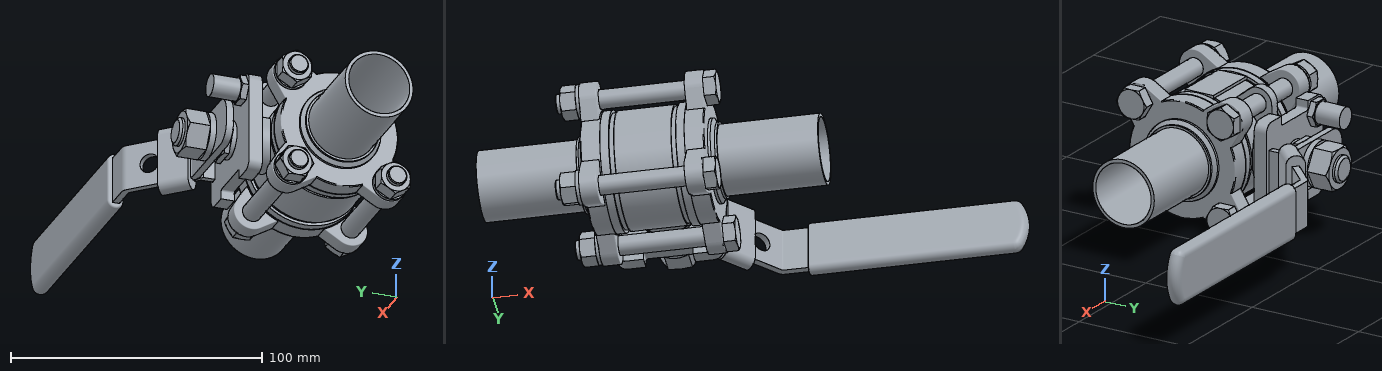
import cadquery as cq
import math


pipe_length = 138.4
pipe_diameter = 29.0
bore_diameter = 26.0
hub_diameter = 34.4
hub_step_diameter = 31.0
hub_end = 27.6
hub_chamfer_length = 1.4
hub_step_end = 28.5

flange_inner_face = 17.1
flange_outer_face = 25.1
lug_inner_face = 17.7
flange_diameter = 50.0
bolt_offset = 21.0
lug_radius = 7.51
lug_flare_angle = 14.0
flange_edge_fillet = 0.4
lug_flank_length = 10.0
bolt_circle_radius = bolt_offset * math.sqrt(2)

seat_ring_diameter = 49.5
seat_ring_inner_face = 13.6
groove_width = 2.0
groove_diameter = 47.0
body_diameter = 48.5
neck_diameter = 22.6
neck_collar_diameter = 23.0
neck_collar_height = 1.3
name_pad_length = 25.0
name_pad_width = 13.4
name_pad_height = 24.6
guide_lug_width = 4.2
guide_lug_radius = 6.6
guide_lug_flare_angle = 6.0

bolt_diameter = 8.0
bolt_hex_flats = 12.4
washer_diameter = 14.0
washer_thickness = 1.5
bolt_nut_height = 6.4
bolt_head_height = 5.1
bolt_end = 35.2
bolt_end_chamfer = 0.4

pad_bottom = 31.4
pad_top = 37.1
pad_size = 42.6
pad_corner_radius = 4.0
pad_recess_length = 20.0
pad_recess_depth = 4.0
pad_recess_radius = 1.0
gland_diameter = 15.88
gland_top = 39.4
packing_nut_flats = 17.0
packing_nut_top = 42.0
stem_diameter = 11.5
stem_top = 60.4
stem_chamfer = 1.0
stem_washer_diameter = 19.5
stem_washer_top = 49.1
stem_nut_top = 58.4
stem_nut_flats = 17.0

stop_offset = 15.1
stop_diameter = 9.4
stop_top = 51.5
stop_hex_flats = 10.6
stop_hex_top = 40.0

lever_thickness = 3.0
lever_width = 19.6
lever_low_y = 45.0
lever_high_y = 66.4
lever_start_x = -20.5
lever_low_bend_x = 18.1
lever_bend_angle = 45.0
lever_high_bend_x = lever_low_bend_x + lever_high_y - lever_low_y
lever_outer_bend_radius = 4.0
lever_inner_bend_radius = lever_outer_bend_radius - lever_thickness
lever_end_radius = 7.0
lever_hole_diameter = 8.0
lever_hole_y = 58.7

grip_start_x = 50.5
grip_end_x = 139.74
grip_width = 24.2
grip_thickness = 6.7
grip_edge_radius = 3.3
grip_tip_length = 3.8
grip_corner_radius = 3.6
grip_mouth_radius = 1.0

lock_length = 13.3
lock_width = 28.6
lock_thickness = 8.0
lock_centre_x = 23.8
lock_tongue_left = 16.6
lock_tongue_right = 19.4
lock_tongue_bend_y = 42.0
lock_tongue_bottom = 30.9
lock_tongue_width = 19.4


def rod_x(diameter, start, end, y=0.0, z=0.0):
    """Cylinder along X."""
    return cq.Workplane("YZ", origin=(start, y, z)).circle(diameter / 2).extrude(end - start)


def rod_y(diameter, start, end, x=0.0, z=0.0):
    """Cylinder along Y."""
    return cq.Workplane("XZ", origin=(x, start, z)).circle(diameter / 2).extrude(start - end)


def hexagon(plane, flats, height, turn=0.0):
    """Hexagonal prism on the plane, with its corners rounded off at the far end."""
    corner_diameter = flats / math.cos(math.radians(30))
    prism = cq.Workplane(plane).polygon(6, corner_diameter).extrude(height)
    prism = prism.rotate(plane.origin, plane.origin + plane.zDir, turn)
    crown = cq.Workplane(plane).circle(corner_diameter / 2).extrude(height)
    crown = crown.faces(cq.selectors.DirectionMinMaxSelector(plane.zDir, True))
    crown = crown.chamfer((corner_diameter - flats) / 4, (corner_diameter - flats) / 2)
    return prism.intersect(crown)


def bolt_lug(radius, start, end, diagonal_angle, flare_angle):
    """Rounded lug around one bolt, with straight flanks that flare towards the valve axis."""
    flare = math.radians(flare_angle)
    tangent_r = bolt_circle_radius + radius * math.sin(flare)
    tangent_w = radius * math.cos(flare)
    root_r = tangent_r - lug_flank_length * math.cos(flare)
    root_w = tangent_w + lug_flank_length * math.sin(flare)
    lug = (
        cq.Workplane("YZ", origin=(start, 0, 0))
        .moveTo(root_r, -root_w)
        .lineTo(tangent_r, -tangent_w)
        .threePointArc((bolt_circle_radius + radius, 0), (tangent_r, tangent_w))
        .lineTo(root_r, root_w)
        .close()
        .extrude(end - start)
    )
    return lug.rotate((0, 0, 0), (1, 0, 0), diagonal_angle)


def end_piece():
    """Pipe, stepped hub and four-lug flange of the +X end."""
    piece = rod_x(pipe_diameter, flange_inner_face, pipe_length / 2)
    piece = piece.union(rod_x(hub_step_diameter, flange_inner_face, hub_step_end))
    hub = rod_x(hub_diameter, flange_inner_face, hub_end)
    hub = hub.faces(">X").chamfer(hub_chamfer_length, (hub_diameter - hub_step_diameter) / 2)
    flange = rod_x(flange_diameter, flange_inner_face, flange_outer_face)
    for quarter in range(4):
        angle = 45 + 90 * quarter
        lug = bolt_lug(lug_radius, lug_inner_face, flange_outer_face, angle, lug_flare_angle)
        flange = flange.union(lug.faces("<X").edges().fillet(flange_edge_fillet))
    flange = flange.faces(">X").edges().fillet(flange_edge_fillet)
    return piece.union(hub).union(flange)


def body():
    """Centre body with seat rings, stem neck, name pad and the bolt guide lug."""
    core = rod_x(groove_diameter, -flange_inner_face, flange_inner_face)
    barrel_end = seat_ring_inner_face - groove_width
    core = core.union(rod_x(body_diameter, -barrel_end, barrel_end))
    for start in (-flange_inner_face, seat_ring_inner_face):
        ring = rod_x(seat_ring_diameter, start, start + flange_inner_face - seat_ring_inner_face)
        core = core.union(ring)
    core = core.union(rod_y(neck_diameter, 0, pad_bottom))
    core = core.union(rod_y(neck_collar_diameter, pad_bottom - neck_collar_height, pad_bottom))
    name_pad = cq.Workplane("XY").rect(name_pad_length, name_pad_width).extrude(name_pad_height)
    guide_end = guide_lug_width / 2
    guide = bolt_lug(guide_lug_radius, -guide_end, guide_end, 45, guide_lug_flare_angle)
    guide_web = cq.Workplane("XY").box(
        guide_lug_width, bolt_offset + guide_lug_radius, bolt_offset, centered=(True, False, False)
    )
    return core.union(name_pad).union(guide).union(guide_web)


def flange_bolt(quarter):
    """Bolt with head at +X, and washer and nut at -X; each hexagon turns with its quarter."""
    angle = math.radians(45 + 90 * quarter)
    y = bolt_circle_radius * math.cos(angle)
    z = bolt_circle_radius * math.sin(angle)
    turn = 90 * (quarter + 1)
    washer_end = -flange_outer_face - washer_thickness
    bolt = rod_x(bolt_diameter, -bolt_end, flange_outer_face, y, z)
    bolt = bolt.faces("<X").chamfer(bolt_end_chamfer)
    bolt = bolt.union(rod_x(washer_diameter, washer_end, -flange_outer_face, y, z))
    head_plane = cq.Plane(origin=(flange_outer_face, y, z), xDir=(0, 1, 0), normal=(1, 0, 0))
    nut_plane = cq.Plane(origin=(washer_end, y, z), xDir=(0, 1, 0), normal=(-1, 0, 0))
    bolt = bolt.union(hexagon(head_plane, bolt_hex_flats, bolt_head_height, turn))
    return bolt.union(hexagon(nut_plane, bolt_hex_flats, bolt_nut_height, turn))


def mounting_pad():
    """Square pad with rounded corners and a recess in its +Z and -Z sides."""
    pad = cq.Workplane("XZ", origin=(0, pad_bottom, 0)).rect(pad_size, pad_size)
    pad = pad.extrude(pad_bottom - pad_top)
    pad = pad.edges("|Y").fillet(pad_corner_radius)
    for side in (-1, 1):
        recess = cq.Workplane("XZ", origin=(0, pad_bottom, side * pad_size / 2))
        recess = recess.rect(pad_recess_length, 2 * pad_recess_depth).extrude(pad_bottom - pad_top)
        pad = pad.cut(recess.edges("|Y").fillet(pad_recess_radius))
    return pad


def stem():
    """Stem with gland, packing nut, lever washer and nut."""
    shaft = rod_y(stem_diameter, pad_bottom, stem_top).faces(">Y").chamfer(stem_chamfer)
    shaft = shaft.union(rod_y(gland_diameter, pad_bottom, gland_top))
    packing_plane = cq.Plane(origin=(0, gland_top, 0), xDir=(1, 0, 0), normal=(0, 1, 0))
    shaft = shaft.union(hexagon(packing_plane, packing_nut_flats, packing_nut_top - gland_top))
    shaft = shaft.union(rod_y(stem_washer_diameter, lever_low_y, stem_washer_top))
    nut_plane = cq.Plane(origin=(0, stem_washer_top, 0), xDir=(1, 0, 0), normal=(0, 1, 0))
    return shaft.union(hexagon(nut_plane, stem_nut_flats, stem_nut_top - stem_washer_top))


def stop_screw():
    """Round stop post with a hexagon foot on one corner of the mounting pad."""
    post = rod_y(stop_diameter, pad_top, stop_top, -stop_offset, stop_offset)
    foot_plane = cq.Plane(origin=(-stop_offset, pad_top, stop_offset), xDir=(1, 0, 0), normal=(0, 1, 0))
    return post.union(hexagon(foot_plane, stop_hex_flats, stop_hex_top - pad_top))


def lever():
    """Flat bar with two bends and a round hole in its sloping part."""
    half = lever_thickness / 2
    miter = half * math.tan(math.radians(lever_bend_angle / 2))
    inside_x = grip_start_x + grip_thickness
    bar = (
        cq.Workplane("XY")
        .moveTo(lever_start_x, lever_low_y - half)
        .lineTo(lever_low_bend_x + miter, lever_low_y - half)
        .lineTo(lever_high_bend_x + miter, lever_high_y - half)
        .lineTo(inside_x, lever_high_y - half)
        .lineTo(inside_x, lever_high_y + half)
        .lineTo(lever_high_bend_x - miter, lever_high_y + half)
        .lineTo(lever_low_bend_x - miter, lever_low_y + half)
        .lineTo(lever_start_x, lever_low_y + half)
        .close()
        .extrude(lever_width / 2, both=True)
    )
    low_outside = (lever_low_bend_x + miter, lever_low_y - half, 0)
    low_inside = (lever_low_bend_x - miter, lever_low_y + half, 0)
    high_outside = (lever_high_bend_x - miter, lever_high_y + half, 0)
    high_inside = (lever_high_bend_x + miter, lever_high_y - half, 0)
    for bend in (low_outside, high_outside):
        edge = cq.selectors.NearestToPointSelector(bend)
        bar = bar.edges("|Z").edges(edge).fillet(lever_outer_bend_radius)
    for bend in (low_inside, high_inside):
        edge = cq.selectors.NearestToPointSelector(bend)
        bar = bar.edges("|Z").edges(edge).fillet(lever_inner_bend_radius)
    bar = bar.edges("|Y and <X").fillet(lever_end_radius)
    hole_x = lever_low_bend_x + lever_hole_y - lever_low_y
    across = cq.Plane(origin=(hole_x, lever_hole_y, 0), xDir=(0, 0, 1), normal=(-1, 1, 0))
    hole = cq.Workplane(across).circle(lever_hole_diameter / 2).extrude(lever_thickness, both=True)
    return bar.cut(hole)


def grip():
    """Grip with an arched tip, rounded along its outline and at its mouth."""
    shoulder_x = grip_end_x - grip_tip_length
    plan = (
        cq.Workplane("XZ", origin=(0, lever_high_y - grip_thickness / 2, 0))
        .moveTo(grip_start_x, -grip_width / 2)
        .lineTo(shoulder_x, -grip_width / 2)
        .threePointArc((grip_end_x, 0), (shoulder_x, grip_width / 2))
        .lineTo(grip_start_x, grip_width / 2)
        .close()
        .extrude(-grip_thickness)
    )
    plan = plan.edges("|Y").edges(">X").fillet(grip_corner_radius)
    outline = plan.faces("<Y or >Y").edges("not <X")
    return outline.fillet(grip_edge_radius).faces("<X").edges().fillet(grip_mouth_radius)


def sliding_lock():
    """Obround sleeve around the sloping part of the lever, with a tongue into the mounting pad."""
    centre_y = lever_low_y + lock_centre_x - lever_low_bend_x
    along = cq.Plane(origin=(lock_centre_x, centre_y, 0), xDir=(0, 0, 1), normal=(1, 1, 0))
    sleeve = cq.Workplane(along).slot2D(lock_width, lock_thickness).extrude(lock_length / 2, both=True)
    rise = lock_centre_x - lock_tongue_right
    tongue = (
        cq.Workplane("XY")
        .moveTo(lock_tongue_left, lock_tongue_bottom)
        .lineTo(lock_tongue_right, lock_tongue_bottom)
        .lineTo(lock_tongue_right, lock_tongue_bend_y)
        .lineTo(lock_tongue_right + rise, lock_tongue_bend_y + rise)
        .lineTo(lock_tongue_left + rise, lock_tongue_bend_y + rise)
        .lineTo(lock_tongue_left, lock_tongue_bend_y)
        .close()
        .extrude(lock_tongue_width / 2, both=True)
    )
    return sleeve.union(tongue)


valve = body()
valve = valve.union(end_piece()).union(end_piece().mirror("YZ"))
valve = valve.union(mounting_pad()).union(stem()).union(stop_screw())
valve = valve.cut(rod_x(bore_diameter, -pipe_length, pipe_length))
for bolt_quarter in range(4):
    valve = valve.union(flange_bolt(bolt_quarter))
result = valve.union(lever()).union(grip()).union(sliding_lock())